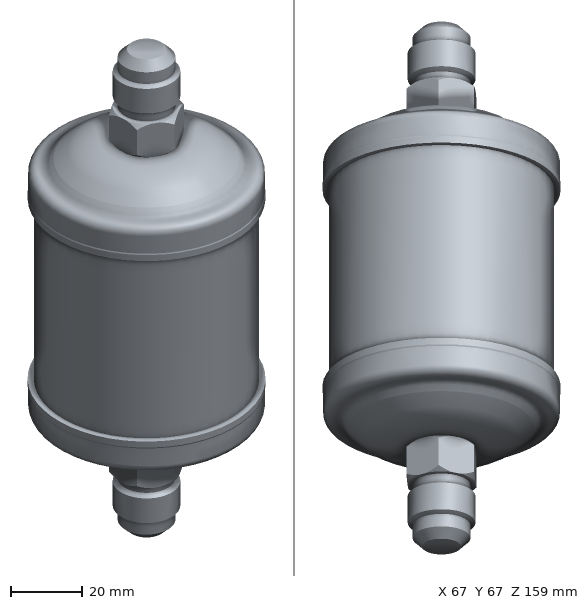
import cadquery as cq
import math

overall_length = 159.0
tip_z = overall_length / 2

body_diameter = 63.5
cap_diameter = 66.7
rim_diameter = 67.0
rim_z = 30.0
rim_height = 2.0
rim_step_height = 0.4
cap_top_z = 40.75
cap_corner_radius = 2.5

dome_top_z = 49.5
dome_flat_radius = 11.0
crown_end_radius = 26.2
flank_angle = math.radians(45)
foot_fillet_radius = 3.0

hex_sides = 6
hex_across_flats = 19.05
hex_top_z = 60.6
hex_corner_diameter = 22.0
hex_chamfer = 1.4

thread_diameter = 19.05
neck_diameter = 16.3
tip_diameter = 11.0
thread_start_z = 63.0
thread_end_z = 73.0
thread_lower_chamfer = 1.0
thread_upper_chamfer = 0.8
flare_angle = math.radians(45)


def make_body():
    """Plain cylindrical shell running between the two cap rims."""
    return cq.Workplane("XY").workplane(offset=-rim_z).circle(body_diameter / 2).extrude(2 * rim_z)


def make_cap():
    """Upper domed end cap, revolved about Z."""
    cap_radius = cap_diameter / 2
    rim_radius = rim_diameter / 2
    rim_top_z = rim_z + rim_height

    crown_radius = (crown_end_radius - dome_flat_radius) / math.sin(flank_angle)
    crown_centre_z = dome_top_z - crown_radius
    crown_end_z = crown_centre_z + crown_radius * math.cos(flank_angle)
    half_angle = flank_angle / 2
    crown_mid = (
        dome_flat_radius + crown_radius * math.sin(half_angle),
        crown_centre_z + crown_radius * math.cos(half_angle),
    )

    foot_radius = crown_end_radius + (crown_end_z - cap_top_z) / math.tan(flank_angle)
    foot_end_radius = foot_radius + foot_fillet_radius * math.tan(half_angle)
    foot_centre_z = cap_top_z + foot_fillet_radius
    foot_start = (
        foot_end_radius - foot_fillet_radius * math.sin(flank_angle),
        foot_centre_z - foot_fillet_radius * math.cos(flank_angle),
    )
    foot_mid = (
        foot_end_radius - foot_fillet_radius * math.sin(half_angle),
        foot_centre_z - foot_fillet_radius * math.cos(half_angle),
    )

    corner_inset = cap_corner_radius * (1 - math.sqrt(0.5))
    return (
        cq.Workplane("XZ")
        .moveTo(0, rim_z)
        .lineTo(rim_radius, rim_z)
        .lineTo(rim_radius, rim_top_z)
        .lineTo(cap_radius, rim_top_z + rim_step_height)
        .lineTo(cap_radius, cap_top_z - cap_corner_radius)
        .threePointArc(
            (cap_radius - corner_inset, cap_top_z - corner_inset),
            (cap_radius - cap_corner_radius, cap_top_z),
        )
        .lineTo(foot_end_radius, cap_top_z)
        .threePointArc(foot_mid, foot_start)
        .lineTo(crown_end_radius, crown_end_z)
        .threePointArc(crown_mid, (dome_flat_radius, dome_top_z))
        .lineTo(0, dome_top_z)
        .close()
        .revolve(360, (0, 0), (0, 1))
    )


def make_hexagon():
    """Hexagon with two flats facing +Y and -Y and its corners turned off at both ends."""
    height = hex_top_z - dome_top_z
    corner_radius = hex_corner_diameter / 2
    prism = (
        cq.Workplane("XY")
        .workplane(offset=dome_top_z)
        .polygon(hex_sides, hex_across_flats, circumscribed=True)
        .extrude(height)
        .rotate((0, 0, 0), (0, 0, 1), 180 / hex_sides)
    )
    turned = (
        cq.Workplane("XY")
        .workplane(offset=dome_top_z)
        .circle(corner_radius)
        .extrude(height)
        .faces(">Z or <Z")
        .chamfer(hex_chamfer)
    )
    return prism.intersect(turned)


def make_flare_fitting():
    """Neck, thread envelope and 45 degree flare cone, revolved about Z."""
    neck_radius = neck_diameter / 2
    thread_radius = thread_diameter / 2
    tip_radius = tip_diameter / 2
    cone_start_z = tip_z - (neck_radius - tip_radius) / math.tan(flare_angle)
    return (
        cq.Workplane("XZ")
        .moveTo(0, dome_top_z)
        .lineTo(neck_radius, dome_top_z)
        .lineTo(neck_radius, thread_start_z)
        .lineTo(thread_radius, thread_start_z + thread_lower_chamfer)
        .lineTo(thread_radius, thread_end_z - thread_upper_chamfer)
        .lineTo(neck_radius, thread_end_z)
        .lineTo(neck_radius, cone_start_z)
        .lineTo(tip_radius, tip_z)
        .lineTo(0, tip_z)
        .close()
        .revolve(360, (0, 0), (0, 1))
    )


upper_end = make_cap().union(make_hexagon()).union(make_flare_fitting())
lower_end = upper_end.mirror("XY")
result = make_body().union(upper_end).union(lower_end)